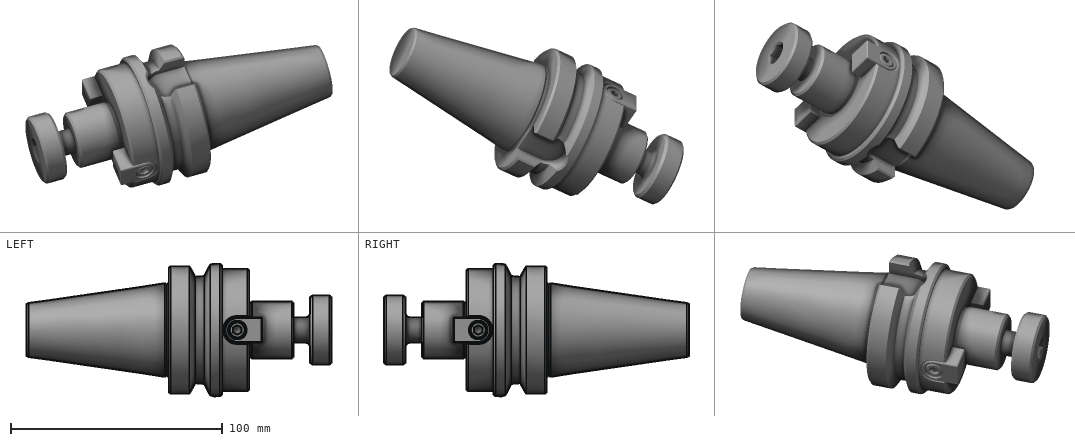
import cadquery as cq
import math


taper_length = 65.4
flange_back = 67.3
flange_front = 92.5
nose_face = 105.5
pilot_end = 126.5
bolt_head_back = 134.1
total_length = 144.4

taper_large_radius = 22.2
taper_per_length = 7 / 24
taper_small_radius = taper_large_radius - taper_length * taper_per_length / 2
taper_end_chamfer_length = 1.0
taper_end_chamfer_depth = 0.5
neck_radius = 21.5
neck_station = 66.4

flange_radius = 31.5
flange_chamfer = 1.0
groove_root_radius = 26.5
groove_center = 82.0
groove_root_width = 4.3
groove_flank_angle = 30.0
groove_flank_length = (flange_radius - groove_root_radius) * math.tan(math.radians(groove_flank_angle))
groove_root_back = groove_center - groove_root_width / 2
groove_root_front = groove_center + groove_root_width / 2

slot_width = 16.2
slot_end_station = 88.1
slot_floor_height = 22.5
slot_edge_chamfer = 0.9

nose_radius = 29.0
nose_chamfer = 1.0
pilot_radius = 13.6
pilot_chamfer = 1.0
relief_radius = 13.1
relief_width = 1.3
relief_edge = 0.5
relief_recess_radius = 15.0
relief_recess_depth = 0.5

key_width = 12.0
key_outer_x = 28.6
key_inner_x = 16.2
key_front = 111.6
key_round_station = 99.8
key_chamfer = 0.5
pocket_chamfer = 0.7

screw_head_radius = 4.2
screw_head_height = 5.0
screw_head_sink = 0.3
screw_head_chamfer = 0.7
screw_shank_radius = 2.5
screw_shank_length = 12.0
screw_socket_flats = 4.0
screw_socket_depth = 2.5
counterbore_radius = 4.5

bolt_shank_radius = 6.0
bolt_shank_length = 30.0
bolt_fillet = 2.0
bolt_head_radius = 16.5
bolt_head_chamfer = 1.0
bolt_head_back_chamfer_length = 1.3
bolt_socket_flats = 10.0
bolt_socket_depth = 6.0
bolt_socket_mouth_radius = 6.0

socket_tip_angle = 120.0
overcut = 1.5
tolerance = 0.03


def turned(profile):
    """Revolve a closed (radius, station) outline about the Y axis."""
    points = [(radius, -station) for radius, station in profile]
    return cq.Workplane("XY").polyline(points).close().revolve(360, (0, 0, 0), (0, 1, 0))


def hex_socket(flats, depth):
    """Hexagonal socket opening at z = 0 and sinking to -Z, with a conical bottom; a corner on +X."""
    corner_diameter = flats / math.cos(math.pi / 6)
    tip_height = flats / 2 / math.tan(math.radians(socket_tip_angle / 2))
    prism = cq.Workplane("XY").polygon(6, corner_diameter).extrude(-depth)
    tip = cq.Solid.makeCone(flats / 2, 0, tip_height, cq.Vector(0, 0, -depth), cq.Vector(0, 0, -1))
    return prism.union(cq.Workplane(tip))


def key_blank(front, outer_x):
    """The +X key shape: a bar with a round back end, from key_inner_x out to outer_x."""
    bar_length = front - key_round_station
    thickness = outer_x - key_inner_x
    start = cq.Workplane("YZ").workplane(offset=key_inner_x)
    bar = start.center(-key_round_station - bar_length / 2, 0).rect(bar_length, key_width).extrude(thickness)
    round_end = start.center(-key_round_station, 0).circle(key_width / 2).extrude(thickness)
    return bar.union(round_end)


def turn_about_axis(shape, turn):
    """Turn a shape about the arbor axis by an angle in degrees."""
    return shape.rotate((0, 0, 0), (0, 1, 0), turn)


def edges_at_radius(shape, radius):
    """Edges that lie wholly on the cylinder of this radius about Y and do not run round it."""
    def lies_on_cylinder(edge):
        spots = [edge.positionAt(t) for t in (0.1, 0.5, 0.9)]
        return all(abs(math.hypot(p.x, p.z) - radius) < tolerance for p in spots)

    return [e for e in shape.val().Edges() if lies_on_cylinder(e) and e.geomType() != "CIRCLE"]


def make_shank():
    """Taper shank, neck and gripper flange with its two drive slots."""
    body = turned([
        (0, 0),
        (taper_small_radius - taper_end_chamfer_depth, 0),
        (taper_small_radius + taper_end_chamfer_length * taper_per_length / 2, taper_end_chamfer_length),
        (taper_large_radius, taper_length),
        (neck_radius, neck_station),
        (neck_radius + flange_back - neck_station, flange_back),
        (flange_radius - flange_chamfer, flange_back),
        (flange_radius, flange_back + flange_chamfer),
        (flange_radius, groove_root_back - groove_flank_length),
        (groove_root_radius, groove_root_back),
        (groove_root_radius, groove_root_front),
        (flange_radius, groove_root_front + groove_flank_length),
        (flange_radius, flange_front - flange_chamfer),
        (flange_radius - flange_chamfer, flange_front),
        (0, flange_front),
    ])
    arc_station = slot_end_station - slot_width / 2
    slot_back = flange_back - overcut
    slot = (
        cq.Workplane("XY")
        .workplane(offset=slot_floor_height)
        .moveTo(-slot_width / 2, -slot_back)
        .lineTo(-slot_width / 2, -arc_station)
        .threePointArc((0, -slot_end_station), (slot_width / 2, -arc_station))
        .lineTo(slot_width / 2, -slot_back)
        .close()
        .extrude(flange_radius)
    )
    for turn in (0, 180):
        body = body.cut(turn_about_axis(slot, turn))
    rim_edges = edges_at_radius(body, flange_radius)
    return body.newObject(rim_edges).chamfer(slot_edge_chamfer)


def make_nose():
    """Cylindrical nose with the two key pockets in its side."""
    body = turned([
        (0, flange_front),
        (nose_radius, flange_front),
        (nose_radius, nose_face - nose_chamfer),
        (nose_radius - nose_chamfer, nose_face),
        (relief_recess_radius, nose_face),
        (relief_recess_radius, nose_face - relief_recess_depth),
        (0, nose_face - relief_recess_depth),
    ])
    for turn in (0, 180):
        body = body.cut(turn_about_axis(key_blank(nose_face + overcut, flange_radius), turn))
    rim_edges = edges_at_radius(body, nose_radius)
    return body.newObject(rim_edges).chamfer(pocket_chamfer)


def make_pilot():
    """Pilot with a relief groove where it meets the nose."""
    return turned([
        (0, nose_face - relief_recess_depth),
        (relief_radius, nose_face - relief_recess_depth),
        (relief_radius, nose_face + relief_width - relief_edge),
        (pilot_radius, nose_face + relief_width),
        (pilot_radius, pilot_end - pilot_chamfer),
        (pilot_radius - pilot_chamfer, pilot_end),
        (0, pilot_end),
    ])


def make_holder():
    """Shank, nose and pilot in one piece, with holes for the bolt and the key screws."""
    body = make_shank().union(make_nose()).union(make_pilot())
    bolt_hole = turned([
        (0, bolt_head_back - bolt_shank_length),
        (bolt_shank_radius, bolt_head_back - bolt_shank_length),
        (bolt_shank_radius, pilot_end + overcut),
        (0, pilot_end + overcut),
    ])
    body = body.cut(bolt_hole)
    for turn in (0, 180):
        body = body.cut(turn_about_axis(screw_shank(), turn))
    return body


screw_head_top_x = key_outer_x - screw_head_sink
screw_seat_x = screw_head_top_x - screw_head_height


def along_screw(start_x, radius, length):
    """Cylinder on the +X screw axis, from start_x outwards."""
    return (
        cq.Workplane("YZ")
        .workplane(offset=start_x)
        .center(-key_round_station, 0)
        .circle(radius)
        .extrude(length)
    )


def screw_shank():
    """Shank of the +X screw, which is also the hole it fills."""
    return along_screw(screw_seat_x - screw_shank_length, screw_shank_radius, screw_shank_length)


def make_screw():
    """Cap screw that holds the +X key, with a hex socket in its chamfered head."""
    head = along_screw(screw_seat_x, screw_head_radius, screw_head_height)
    head = head.faces(">X").edges().chamfer(screw_head_chamfer)
    socket = (
        hex_socket(screw_socket_flats, screw_socket_depth)
        .rotate((0, 0, 0), (0, 1, 0), 90)
        .translate((screw_head_top_x, -key_round_station, 0))
    )
    return head.union(screw_shank()).cut(socket)


def make_key():
    """Drive key on the +X side, counterbored for its screw."""
    key = key_blank(key_front, key_outer_x)
    key = key.faces(">X or <Y").edges().chamfer(key_chamfer)
    counterbore = along_screw(screw_seat_x, counterbore_radius, flange_radius)
    return key.cut(counterbore).cut(screw_shank())


def make_bolt():
    """Clamping bolt with a wide head and a countersunk hex socket."""
    body = turned([
        (0, bolt_head_back - bolt_shank_length),
        (bolt_shank_radius, bolt_head_back - bolt_shank_length),
        (bolt_shank_radius, bolt_head_back),
        (bolt_head_radius - bolt_head_chamfer, bolt_head_back),
        (bolt_head_radius, bolt_head_back + bolt_head_back_chamfer_length),
        (bolt_head_radius, total_length - bolt_head_chamfer),
        (bolt_head_radius - bolt_head_chamfer, total_length),
        (0, total_length),
    ])
    root_edges = [
        edge
        for edge in body.edges("%CIRCLE").vals()
        if abs(edge.radius() - bolt_shank_radius) < tolerance and edge.Center().y < -pilot_end
    ]
    body = body.newObject(root_edges).fillet(bolt_fillet)
    socket = (
        hex_socket(bolt_socket_flats, bolt_socket_depth)
        .rotate((0, 0, 0), (0, 0, 1), 90)
        .rotate((0, 0, 0), (1, 0, 0), 90)
        .translate((0, -total_length, 0))
    )
    mouth = turned([
        (0, total_length),
        (bolt_socket_mouth_radius, total_length),
        (0, total_length - bolt_socket_mouth_radius),
    ])
    return body.cut(socket).cut(mouth)


holder = make_holder()
keys = [turn_about_axis(make_key(), turn) for turn in (0, 180)]
screws = [turn_about_axis(make_screw(), turn) for turn in (0, 180)]
bolt = make_bolt()

bodies = [holder, *keys, *screws, bolt]
result = cq.Compound.makeCompound([body.solids().val() for body in bodies])